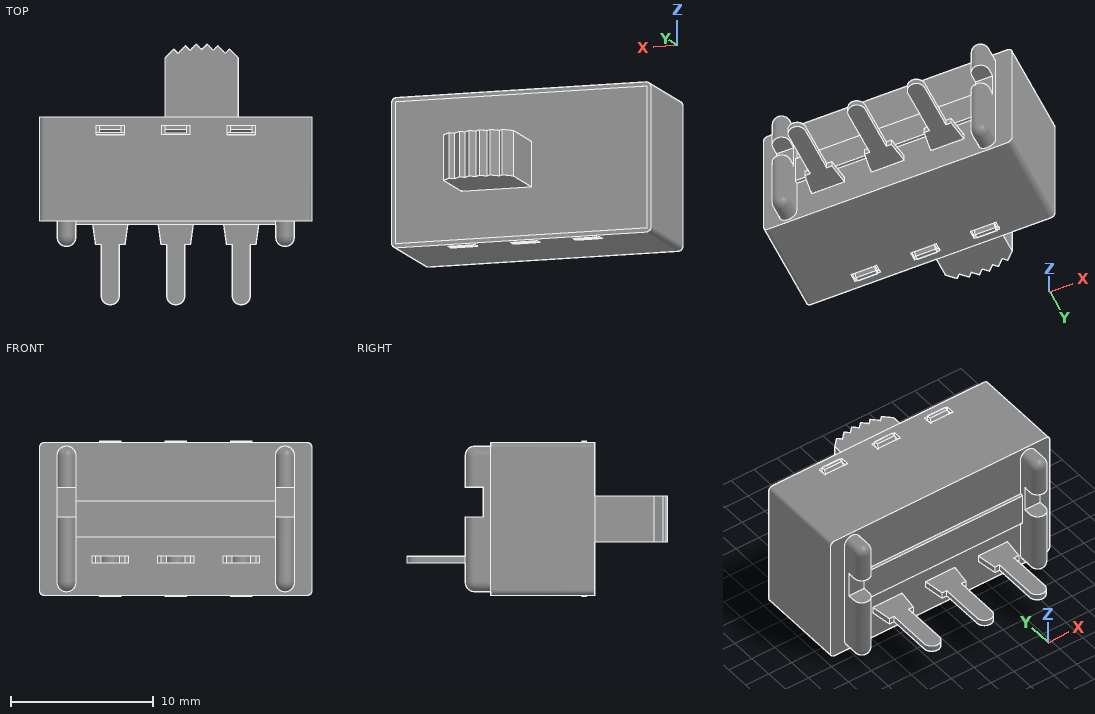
import cadquery as cq


HOUSING_LENGTH = 19.13
HOUSING_DEPTH = 7.3
HOUSING_HEIGHT = 10.75
CORNER_RADIUS = 0.38
WALL = 0.3

STATION_PITCH = 4.6
STATIONS = [-STATION_PITCH, 0.0, STATION_PITCH]

WINDOW_LENGTH = 1.97
WINDOW_START = 0.6
WINDOW_END = 1.25

POST_SPACING = 15.32
POST_WIDTH = 1.32
POST_ROUNDING = 0.65
POST_HEIGHT = 10.22
POST_REACH = 1.78
NOTCH_TOP = 2.22
NOTCH_BOTTOM = 0.15
NOTCH_FLOOR = 0.52

RIB_HEIGHT = 2.55
RIB_REACH = 0.25

PIN_Z = -2.85
PIN_THICKNESS = 0.5
PIN_REACH = 5.87
PIN_WIDTH = 1.28
SHOULDER_BASE_WIDTH = 2.55
SHOULDER_TIP_WIDTH = 2.09
SHOULDER_REACH = 1.65

BLOCK_LENGTH = HOUSING_LENGTH - 2 * WALL
BLOCK_HEIGHT = HOUSING_HEIGHT - 2 * WALL
BLOCK_DEPTH = 1.13
SPACER_LENGTH = 2.68
HOOK_LENGTH = 1.53
HOOK_FLAT = 0.3
HOOK_PROTRUSION = 0.08

HANDLE_X = 1.82
HANDLE_LENGTH = 5.15
HANDLE_HEIGHT = 3.25
RIDGES = [(1.95, 4.76), (1.13, 5.0), (0.38, 5.1)]


def box(x_range, y_range, z_range):
    """Box between the given limits on each axis."""
    size = [high - low for low, high in (x_range, y_range, z_range)]
    return cq.Workplane("XY").box(*size, centered=False).translate((x_range[0], y_range[0], z_range[0]))


def centred_box(length, y_range, height, x=0.0):
    """Box centred on the given X and on Z = 0."""
    return box((x - length / 2, x + length / 2), y_range, (-height / 2, height / 2))


def make_shell():
    """Rounded box with a rear pocket and snap windows through its top and bottom walls."""
    pocket_floor = HOUSING_DEPTH - WINDOW_END
    shell = centred_box(HOUSING_LENGTH, (0, HOUSING_DEPTH), HOUSING_HEIGHT)
    shell = shell.edges("|Y").fillet(CORNER_RADIUS)
    shell = shell.cut(centred_box(BLOCK_LENGTH, (pocket_floor, HOUSING_DEPTH), BLOCK_HEIGHT))
    for x in STATIONS:
        window_range = (pocket_floor, HOUSING_DEPTH - WINDOW_START)
        shell = shell.cut(centred_box(WINDOW_LENGTH, window_range, HOUSING_HEIGHT, x))
    return shell


def make_post(x):
    """Upright post with a rounded front and ends, and a notch across it."""
    post = cq.Workplane("XZ").slot2D(POST_HEIGHT, POST_WIDTH, 90).extrude(POST_REACH)
    post = post.faces("<Y").edges().fillet(POST_ROUNDING)
    notch_range = (-POST_REACH, -NOTCH_FLOOR)
    post = post.cut(box((-POST_WIDTH, POST_WIDTH), notch_range, (NOTCH_BOTTOM, NOTCH_TOP)))
    return post.translate((x, 0, 0))


def make_pin(x):
    """Flat terminal pin with a tapered shoulder and a round tip."""
    half_width = PIN_WIDTH / 2
    half_base = SHOULDER_BASE_WIDTH / 2
    half_shoulder = SHOULDER_TIP_WIDTH / 2
    tip_start = half_width - PIN_REACH
    return (
        cq.Workplane("XY")
        .moveTo(-half_base, 0)
        .lineTo(-half_shoulder, -SHOULDER_REACH)
        .lineTo(-half_width, -SHOULDER_REACH)
        .lineTo(-half_width, tip_start)
        .threePointArc((0, -PIN_REACH), (half_width, tip_start))
        .lineTo(half_width, -SHOULDER_REACH)
        .lineTo(half_shoulder, -SHOULDER_REACH)
        .lineTo(half_base, 0)
        .close()
        .extrude(PIN_THICKNESS)
        .translate((x, 0, PIN_Z - PIN_THICKNESS / 2))
    )


def make_housing():
    """Shell with the rib, posts and pins moulded onto its front face."""
    housing = make_shell()
    housing = housing.union(centred_box(POST_SPACING, (-RIB_REACH, 0), RIB_HEIGHT))
    for x in (-POST_SPACING / 2, POST_SPACING / 2):
        housing = housing.union(make_post(x))
    for x in STATIONS:
        housing = housing.union(make_pin(x))
    return housing


def make_hook_pair(x):
    """Ramped snap hooks on the top and bottom of the block."""
    rear_y = HOUSING_DEPTH - WINDOW_START
    ramp_top_y = rear_y - HOOK_FLAT
    ramp_foot_y = HOUSING_DEPTH - BLOCK_DEPTH
    foot_z = BLOCK_HEIGHT / 2
    top_z = HOUSING_HEIGHT / 2 + HOOK_PROTRUSION
    profile = [
        (rear_y, -top_z),
        (rear_y, top_z),
        (ramp_top_y, top_z),
        (ramp_foot_y, foot_z),
        (ramp_foot_y, -foot_z),
        (ramp_top_y, -top_z),
    ]
    hooks = cq.Workplane("YZ").polyline(profile).close().extrude(HOOK_LENGTH)
    return hooks.translate((x - HOOK_LENGTH / 2, 0, 0))


def make_handle():
    """Handle with grip ridges whose flanks slope at 45 degrees."""
    left_ridges = [(-offset, height) for offset, height in RIDGES]
    ridges = left_ridges + RIDGES[::-1]
    half_length = HANDLE_LENGTH / 2
    outer_offset, outer_height = RIDGES[0]
    shoulder = outer_height - (half_length - outer_offset)

    outline = [(-half_length, 0), (-half_length, shoulder), ridges[0]]
    for (x1, y1), (x2, y2) in zip(ridges, ridges[1:]):
        valley_x = (x1 + x2 + y1 - y2) / 2
        valley_y = y1 - (valley_x - x1)
        outline += [(valley_x, valley_y), (x2, y2)]
    outline += [(half_length, shoulder), (half_length, 0)]

    handle = cq.Workplane("XY").polyline(outline).close().extrude(HANDLE_HEIGHT)
    return handle.translate((HANDLE_X, HOUSING_DEPTH, -HANDLE_HEIGHT / 2))


def make_actuator():
    """Block filling the housing's rear opening, with snap hooks and the handle."""
    block_front = HOUSING_DEPTH - BLOCK_DEPTH
    spacer_range = (HOUSING_DEPTH - WINDOW_END, block_front)
    actuator = centred_box(BLOCK_LENGTH, (block_front, HOUSING_DEPTH), BLOCK_HEIGHT)
    actuator = actuator.union(centred_box(SPACER_LENGTH, spacer_range, BLOCK_HEIGHT))
    for x in STATIONS:
        actuator = actuator.union(make_hook_pair(x))
    return actuator.union(make_handle())


housing = make_housing()
actuator = make_actuator()

result = cq.Compound.makeCompound([housing.val(), actuator.val()])